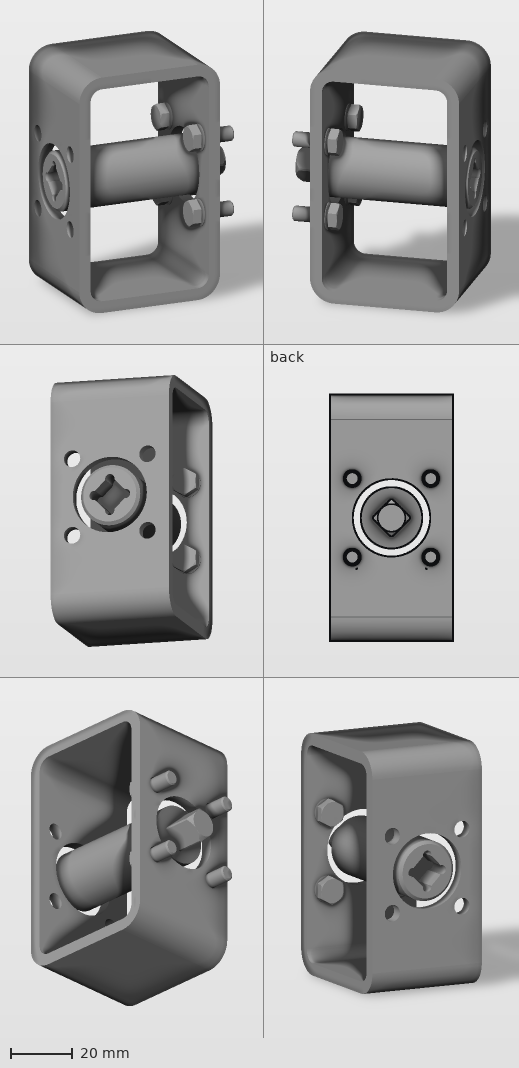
import cadquery as cq
import math


FRAME_WIDTH = 40.0
FRAME_DEPTH = 50.0
FRAME_HEIGHT = 80.0
WALL = 4.0
OUTER_RADIUS = 8.0
INNER_RADIUS = OUTER_RADIUS - WALL
SHAFT_OPENING_DIAMETER = 25.0
BOLT_HOLE_DIAMETER = 5.5
BOLT_CIRCLE_DIAMETER = 36.0

FRONT_FACE = -FRAME_DEPTH / 2
BACK_FACE = FRAME_DEPTH / 2
BACK_WALL_INSIDE = BACK_FACE - WALL

SHAFT_DIAMETER = 20.0
BARREL_LENGTH = 48.0
SHAFT_CHAMFER = 1.0
SQUARE_SIZE = 9.0
STUB_PROTRUSION = 9.0
STUB_CORNER_DIAMETER = 12.0
STUB_CHAMFER = (STUB_CORNER_DIAMETER - SQUARE_SIZE) / 2
SOCKET_DEPTH = STUB_PROTRUSION
SOCKET_SIZE = 9.2
RELIEF_DIAMETER = 3.1
RELIEF_CENTRE_DISTANCE = 5.3

WASHER_DIAMETER = 9.0
WASHER_HOLE_DIAMETER = 5.3
WASHER_TOP_DIAMETER = 7.0
WASHER_THICKNESS = 0.6
WASHER_RIM = 0.28

SHANK_DIAMETER = 5.0
SHANK_LENGTH = 12.0
TIP_DIAMETER = 4.1
TIP_CHAMFER_LENGTH = 0.5
COLLAR_DIAMETER = 6.9
COLLAR_HEIGHT = 0.5
HEX_ACROSS_FLATS = 8.0
HEX_ACROSS_CORNERS = HEX_ACROSS_FLATS / math.cos(math.radians(30))
HEX_HEIGHT = 3.0
HEX_CHAMFER_ANGLE = 30.0

BOLT_OFFSET = BOLT_CIRCLE_DIAMETER / 2 * math.cos(math.radians(45))
BOLT_POSITIONS = [(x, z) for x in (-BOLT_OFFSET, BOLT_OFFSET) for z in (-BOLT_OFFSET, BOLT_OFFSET)]


def plane_at(y):
    """Sketch plane across the Y axis: local x is X, local y is Z, and extrusions run along +Y."""
    return cq.Plane(origin=(0, y, 0), xDir=(1, 0, 0), normal=(0, -1, 0))


def extrude_y(sketch, length):
    """Extrude a sketch on plane_at toward +Y."""
    return sketch.extrude(-length)


def revolve_about_y(points):
    """Turn a closed profile of (radius, y) points about the Y axis."""
    return cq.Workplane("XY").polyline(points).close().revolve(360, (0, 0, 0), (0, 1, 0))


def make_frame():
    tube = cq.Workplane("XY").box(FRAME_WIDTH, FRAME_DEPTH, FRAME_HEIGHT)
    tube = tube.edges("|X").fillet(OUTER_RADIUS)
    inside = cq.Workplane("XY").box(FRAME_WIDTH, FRAME_DEPTH - 2 * WALL, FRAME_HEIGHT - 2 * WALL)
    inside = inside.edges("|X").fillet(INNER_RADIUS)
    opening = extrude_y(cq.Workplane(plane_at(FRONT_FACE)).circle(SHAFT_OPENING_DIAMETER / 2), FRAME_DEPTH)
    bolt_holes = extrude_y(
        cq.Workplane(plane_at(FRONT_FACE)).pushPoints(BOLT_POSITIONS).circle(BOLT_HOLE_DIAMETER / 2),
        FRAME_DEPTH,
    )
    return tube.cut(inside).cut(opening).cut(bolt_holes)


def square_prism(size, start, length):
    """Square prism on the Y axis with its corners pointing along X and Z."""
    prism = extrude_y(cq.Workplane(plane_at(start)).rect(size, size), length)
    return prism.rotate((0, 0, 0), (0, 1, 0), 45)


def make_stub():
    base = FRONT_FACE + BARREL_LENGTH
    tip = BACK_FACE + STUB_PROTRUSION
    corner_radius = STUB_CORNER_DIAMETER / 2
    turned = revolve_about_y([
        (0, base),
        (corner_radius, base),
        (corner_radius, tip - STUB_CHAMFER),
        (corner_radius - STUB_CHAMFER, tip),
        (0, tip),
    ])
    return turned.intersect(square_prism(SQUARE_SIZE, base, tip - base))


def make_socket():
    reliefs = extrude_y(
        cq.Workplane(plane_at(FRONT_FACE))
        .polarArray(RELIEF_CENTRE_DISTANCE, 0, 360, 4)
        .circle(RELIEF_DIAMETER / 2),
        SOCKET_DEPTH,
    )
    return square_prism(SOCKET_SIZE, FRONT_FACE, SOCKET_DEPTH).union(reliefs)


def make_shaft():
    barrel = extrude_y(cq.Workplane(plane_at(FRONT_FACE)).circle(SHAFT_DIAMETER / 2), BARREL_LENGTH)
    barrel = barrel.faces("<Y").chamfer(SHAFT_CHAMFER)
    return barrel.union(make_stub()).cut(make_socket())


def make_washer(x, z):
    seat = BACK_WALL_INSIDE
    top_face = seat - WASHER_THICKNESS
    hole_radius = WASHER_HOLE_DIAMETER / 2
    washer = revolve_about_y([
        (hole_radius, seat),
        (WASHER_DIAMETER / 2, seat),
        (WASHER_DIAMETER / 2, seat - WASHER_RIM),
        (WASHER_TOP_DIAMETER / 2, top_face),
        (hole_radius, top_face),
    ])
    return washer.translate((x, 0, z))


def make_hex_head(end_face):
    """Hexagon with corners along Z whose end corners are turned down to the flats."""
    hexagon = extrude_y(
        cq.Workplane(plane_at(end_face)).transformed(rotate=(0, 0, 90)).polygon(6, HEX_ACROSS_CORNERS),
        HEX_HEIGHT,
    )
    flat_radius = HEX_ACROSS_FLATS / 2
    corner_radius = HEX_ACROSS_CORNERS / 2
    chamfer_length = (corner_radius - flat_radius) * math.tan(math.radians(HEX_CHAMFER_ANGLE))
    turned = revolve_about_y([
        (0, end_face),
        (flat_radius, end_face),
        (corner_radius, end_face + chamfer_length),
        (corner_radius, end_face + HEX_HEIGHT),
        (0, end_face + HEX_HEIGHT),
    ])
    return hexagon.intersect(turned)


def make_bolt(x, z):
    seat = BACK_WALL_INSIDE - WASHER_THICKNESS
    hex_base = seat - COLLAR_HEIGHT
    tip = seat + SHANK_LENGTH
    shank_and_collar = revolve_about_y([
        (0, hex_base),
        (COLLAR_DIAMETER / 2, hex_base),
        (COLLAR_DIAMETER / 2, seat),
        (SHANK_DIAMETER / 2, seat),
        (SHANK_DIAMETER / 2, tip - TIP_CHAMFER_LENGTH),
        (TIP_DIAMETER / 2, tip),
        (0, tip),
    ])
    bolt = shank_and_collar.union(make_hex_head(hex_base - HEX_HEIGHT))
    return bolt.translate((x, 0, z))


frame = make_frame()
shaft = make_shaft()
washers = [make_washer(x, z) for x, z in BOLT_POSITIONS]
bolts = [make_bolt(x, z) for x, z in BOLT_POSITIONS]

result = cq.Compound.makeCompound([
    frame.val(),
    shaft.val(),
    *[washer.val() for washer in washers],
    *[bolt.val() for bolt in bolts],
])